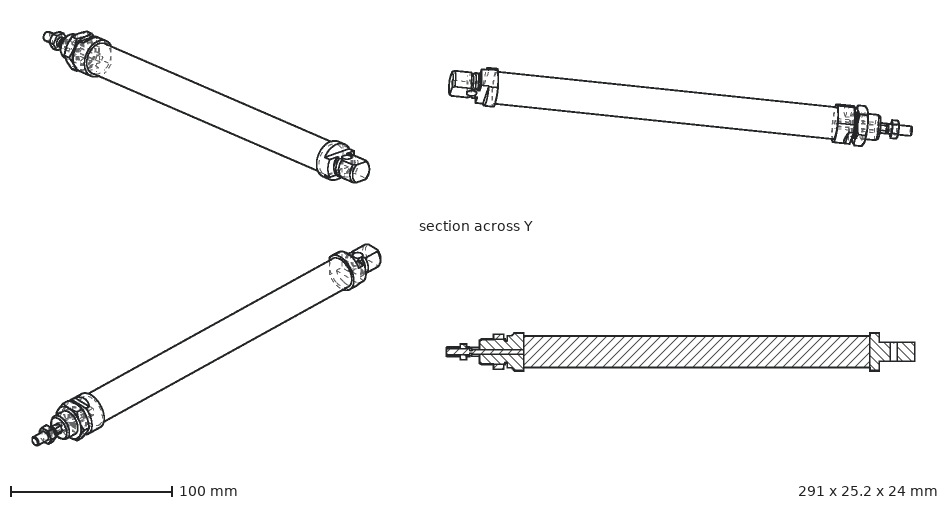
import cadquery as cq
import math

TOTAL_LENGTH = 291.0

ROD_THREAD_DIAMETER = 6.0
ROD_CORE_DIAMETER = 5.0
ROD_THREAD_END = 14.8
ROD_UNDERCUT_END = 16.0
ROD_HEX_ACROSS_FLATS = 5.5

ROD_NUT_START = 8.7
ROD_NUT_WIDTH = 4.0
ROD_NUT_ACROSS_FLATS = 10.0

MOUNT_NUT_START = 29.5
MOUNT_NUT_WIDTH = 6.5
MOUNT_NUT_ACROSS_FLATS = 21.8

NUT_CHAMFER_ANGLE = 30.0

MOUNT_THREAD_DIAMETER = 16.0
MOUNT_CORE_DIAMETER = 14.3
MOUNT_CHAMFER_LENGTH = 1.5
MOUNT_UNDERCUT_LENGTH = 1.2

CAP_DIAMETER = 24.0
BARREL_DIAMETER = 20.0
FRONT_BOSS_START = 20.7
FRONT_CAP_START = 37.8
BARREL_START = 48.3
BARREL_END = 263.0
REAR_CAP_END = 273.5

CAP_FLAT_SPACING = 20.0
CAP_FLAT_LENGTH = 3.0
CAP_FLAT_RUNOUT_ANGLE = 45.0

TONGUE_THICKNESS = 12.0
TONGUE_START = 269.0
PIVOT_X = 278.0
PIVOT_DIAMETER = 6.0
GROOVE_DEPTH = 1.3


def round_bar(diameter, start, end):
    """A round bar along X."""
    return cq.Workplane("YZ").workplane(offset=start).circle(diameter / 2).extrude(end - start)


def hex_bar(across_flats, start, end):
    """A hexagonal bar along X with two corners on the Y axis and flats facing up and down."""
    across_corners = across_flats / math.cos(math.pi / 6)
    return cq.Workplane("YZ").workplane(offset=start).polygon(6, across_corners).extrude(end - start)


def revolve_profile(points):
    """A solid of revolution about X from (x, radius) points."""
    return cq.Workplane("XY").polyline(points).close().revolve(360, (0, 0, 0), (1, 0, 0))


def hex_nut(across_flats, bore_diameter, start, width, both_ends):
    """A hexagonal nut with its corners turned off at the front end, or at both ends."""
    end = start + width
    flat_radius = across_flats / 2
    corner_radius = flat_radius / math.cos(math.pi / 6)
    chamfer_length = (corner_radius - flat_radius) * math.tan(math.radians(NUT_CHAMFER_ANGLE))
    outline = [(start, 0), (start, flat_radius), (start + chamfer_length, corner_radius)]
    if both_ends:
        outline += [(end - chamfer_length, corner_radius), (end, flat_radius), (end, 0)]
    else:
        outline += [(end, corner_radius), (end, 0)]
    nut = hex_bar(across_flats, start, end).intersect(revolve_profile(outline))
    return nut.cut(round_bar(bore_diameter, start, end))


def cut_side_flat(cap):
    """Flatten the +Y side of a cap down to the surface of the barrel."""
    flat_depth = (CAP_DIAMETER - BARREL_DIAMETER) / 2
    beyond_barrel = cq.Workplane("XY").box(
        TOTAL_LENGTH, flat_depth, CAP_DIAMETER, centered=(False, False, True)
    ).translate((0, BARREL_DIAMETER / 2, 0))
    return cap.cut(beyond_barrel)


def make_rod():
    tip_chamfer = (ROD_THREAD_DIAMETER - ROD_CORE_DIAMETER) / 2
    stub = round_bar(ROD_THREAD_DIAMETER, 0, ROD_THREAD_END).faces("<X").chamfer(tip_chamfer)
    rod = stub.union(round_bar(ROD_CORE_DIAMETER, ROD_THREAD_END, ROD_UNDERCUT_END))
    return rod.union(hex_bar(ROD_HEX_ACROSS_FLATS, ROD_UNDERCUT_END, BARREL_START))


def make_front_cap():
    core_radius = MOUNT_CORE_DIAMETER / 2
    thread_radius = MOUNT_THREAD_DIAMETER / 2
    cap_radius = CAP_DIAMETER / 2
    undercut_start = FRONT_CAP_START - MOUNT_UNDERCUT_LENGTH
    cap = revolve_profile([
        (FRONT_BOSS_START, 0),
        (FRONT_BOSS_START, core_radius),
        (FRONT_BOSS_START + MOUNT_CHAMFER_LENGTH, thread_radius),
        (undercut_start, thread_radius),
        (undercut_start, core_radius),
        (FRONT_CAP_START, core_radius),
        (FRONT_CAP_START, cap_radius),
        (BARREL_START, cap_radius),
        (BARREL_START, 0),
    ])

    cap = cut_side_flat(cap)

    flat_height = CAP_FLAT_SPACING / 2
    flat_end = FRONT_CAP_START + CAP_FLAT_LENGTH
    runout_length = (cap_radius - flat_height) / math.tan(math.radians(CAP_FLAT_RUNOUT_ANGLE))
    flat = (
        cq.Workplane("XZ")
        .moveTo(FRONT_CAP_START, flat_height)
        .lineTo(flat_end, flat_height)
        .lineTo(flat_end + runout_length, cap_radius)
        .lineTo(FRONT_CAP_START, cap_radius)
        .close()
        .extrude(cap_radius, both=True)
    )
    cap = cap.cut(flat).cut(flat.mirror("XY"))

    return cap.cut(hex_bar(ROD_HEX_ACROSS_FLATS, FRONT_BOSS_START, BARREL_START))


def make_rear_cap():
    core_radius = MOUNT_CORE_DIAMETER / 2
    thread_radius = MOUNT_THREAD_DIAMETER / 2
    cap_radius = CAP_DIAMETER / 2
    undercut_end = REAR_CAP_END + MOUNT_UNDERCUT_LENGTH
    cap = revolve_profile([
        (BARREL_END, 0),
        (BARREL_END, cap_radius),
        (REAR_CAP_END, cap_radius),
        (REAR_CAP_END, core_radius),
        (undercut_end, core_radius),
        (undercut_end, thread_radius),
        (PIVOT_X - GROOVE_DEPTH, thread_radius),
        (PIVOT_X, thread_radius - GROOVE_DEPTH),
        (PIVOT_X + GROOVE_DEPTH, thread_radius),
        (TOTAL_LENGTH - MOUNT_CHAMFER_LENGTH, thread_radius),
        (TOTAL_LENGTH, core_radius),
        (TOTAL_LENGTH, 0),
    ])

    cap = cut_side_flat(cap)

    tongue_half = TONGUE_THICKNESS / 2
    above_tongue = cq.Workplane("XY").box(
        TOTAL_LENGTH - TONGUE_START, CAP_DIAMETER, cap_radius - tongue_half, centered=(False, True, False)
    ).translate((TONGUE_START, 0, tongue_half))
    cap = cap.cut(above_tongue).cut(above_tongue.mirror("XY"))

    pivot_hole = (
        cq.Workplane("XY").center(PIVOT_X, 0).circle(PIVOT_DIAMETER / 2).extrude(cap_radius, both=True)
    )
    return cap.cut(pivot_hole)


rod = make_rod()
rod_nut = hex_nut(ROD_NUT_ACROSS_FLATS, ROD_THREAD_DIAMETER, ROD_NUT_START, ROD_NUT_WIDTH, both_ends=False)
mount_nut = hex_nut(
    MOUNT_NUT_ACROSS_FLATS, MOUNT_THREAD_DIAMETER, MOUNT_NUT_START, MOUNT_NUT_WIDTH, both_ends=True
)
front_cap = make_front_cap()
barrel = round_bar(BARREL_DIAMETER, BARREL_START, BARREL_END)
rear_cap = make_rear_cap()

result = cq.Compound.makeCompound([
    rod.val(),
    rod_nut.val(),
    mount_nut.val(),
    front_cap.val(),
    barrel.val(),
    rear_cap.val(),
])